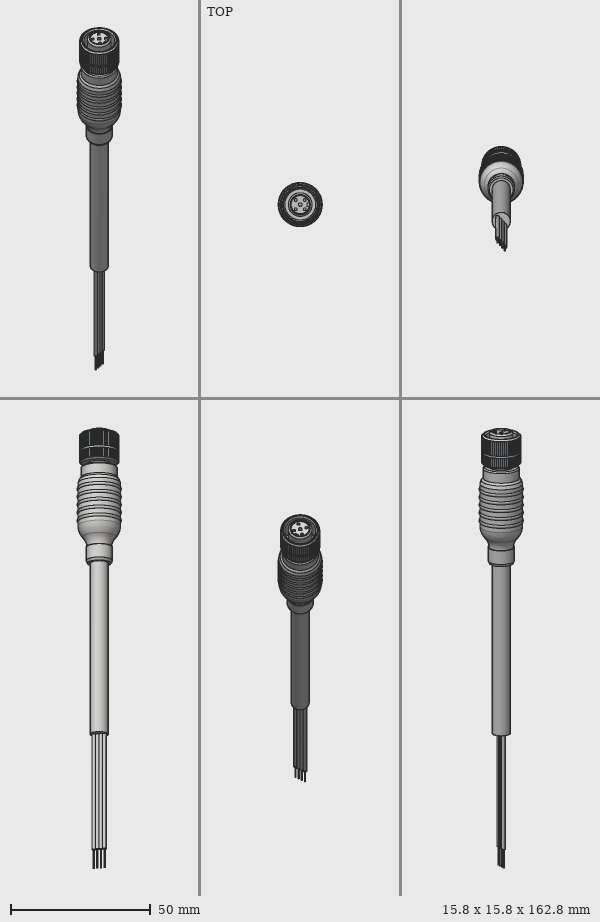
import cadquery as cq

total_length = 162.8

wire_count = 4
wire_pitch = 1.3
wire_radius = 0.68
conductor_radius = 0.26
insulation_bottom = 7.0
wire_embedding = 1.6

cable_radius = 3.3
cable_bottom = 49.8
sleeve_radius = 4.7
sleeve_bottom = 113.5
sleeve_top = 119.5
sleeve_chamfer_width = 0.5
sleeve_chamfer_height = 1.0

neck_radius = 4.4
flare_middle = (4.9, 121.6)
dome_bottom_radius = 6.0
dome_bottom = 123.3
dome_middle = (7.2, 125.0)
grip_radius = 7.7
grip_bottom = 127.3
grip_top = 143.3
shoulder_radius = 7.2
shoulder_height = 144.6

ring_count = 5
ring_pitch = 3.0
ring_height = 1.1
ring_radius = 7.9
ring_embedding = 0.3
first_ring_height = 129.5

collar_radius = 6.5
collar_bottom = 145.5
collar_top = 149.5
barrel_radius = 4.2
collar_chamfer = 0.5
barrel_chamfer = 0.7

face_radius = 3.3
face_depth = 0.5
socket_offset = 1.6
socket_diameter = 1.0
center_socket_diameter = 1.3
socket_depth = 4.9
keyway_width = 1.3
keyway_floor = 2.5

nut_radius = 7.0
nut_bottom = 150.6
nut_top = 161.7
nut_chamfer = 0.7
bore_radius = 5.5
bore_depth = 8.1
bore_chamfer = 0.5
flute_count = 60
flute_radius = 0.25
land_height = 155.2
land_width = 0.8


def cylinder(radius, bottom, top):
    return cq.Workplane("XY").workplane(offset=bottom).circle(radius).extrude(top - bottom)


def turn(profile):
    """Revolve a closed (radius, height) profile about the cable axis."""
    return profile.close().revolve(360, (0, 0, 0), (0, 1, 0))


def make_body():
    """Cable, sleeve, grip, collar and barrel."""
    profile = (
        cq.Workplane("XZ")
        .moveTo(0, cable_bottom)
        .lineTo(cable_radius, cable_bottom)
        .lineTo(cable_radius, sleeve_bottom)
        .lineTo(sleeve_radius - sleeve_chamfer_width, sleeve_bottom)
        .lineTo(sleeve_radius, sleeve_bottom + sleeve_chamfer_height)
        .lineTo(sleeve_radius, sleeve_top)
        .lineTo(neck_radius, sleeve_top)
        .threePointArc(flare_middle, (dome_bottom_radius, dome_bottom))
        .threePointArc(dome_middle, (grip_radius, grip_bottom))
        .lineTo(grip_radius, grip_top)
        .lineTo(shoulder_radius, shoulder_height)
        .lineTo(collar_radius, collar_bottom)
        .lineTo(collar_radius, collar_top - collar_chamfer)
        .lineTo(collar_radius - collar_chamfer, collar_top)
        .lineTo(barrel_radius, collar_top)
        .lineTo(barrel_radius, total_length - barrel_chamfer)
        .lineTo(barrel_radius - barrel_chamfer, total_length)
        .lineTo(0, total_length)
    )
    return turn(profile)


def make_ring(height):
    root = grip_radius - ring_embedding
    bottom = height - ring_height / 2
    top = height + ring_height / 2
    profile = (
        cq.Workplane("XZ")
        .moveTo(root, bottom)
        .lineTo(grip_radius, bottom)
        .threePointArc((ring_radius, height), (grip_radius, top))
        .lineTo(root, top)
    )
    return turn(profile)


def make_wire(y):
    insulation = cylinder(wire_radius, insulation_bottom, cable_bottom + wire_embedding)
    conductor = cylinder(conductor_radius, 0, insulation_bottom)
    return insulation.union(conductor).translate((0, y, 0))


def make_flutes(bottom, top):
    return (
        cq.Workplane("XY")
        .workplane(offset=bottom)
        .polarArray(nut_radius, 0, 360, flute_count)
        .circle(flute_radius)
        .extrude(top - bottom)
    )


def make_nut():
    """Nut with two bands of flutes, parted by a plain land, and an open bore around the barrel."""
    bore_bottom = nut_top - bore_depth
    profile = (
        cq.Workplane("XZ")
        .moveTo(0, nut_bottom)
        .lineTo(nut_radius - nut_chamfer, nut_bottom)
        .lineTo(nut_radius, nut_bottom + nut_chamfer)
        .lineTo(nut_radius, nut_top - nut_chamfer)
        .lineTo(nut_radius - nut_chamfer, nut_top)
        .lineTo(bore_radius + bore_chamfer, nut_top)
        .lineTo(bore_radius, nut_top - bore_chamfer)
        .lineTo(bore_radius, bore_bottom)
        .lineTo(0, bore_bottom)
    )
    lower_flutes = make_flutes(nut_bottom + nut_chamfer, land_height - land_width / 2)
    upper_flutes = make_flutes(land_height + land_width / 2, nut_top - nut_chamfer)
    return turn(profile).cut(lower_flutes).cut(upper_flutes)


def make_contact_cuts():
    """Recessed contact face with its five sockets and the keyway on the +X side."""
    socket_bottom = total_length - socket_depth
    face_recess = cylinder(face_radius, total_length - face_depth, total_length)
    outer_sockets = (
        cq.Workplane("XY")
        .workplane(offset=socket_bottom)
        .rect(2 * socket_offset, 2 * socket_offset, forConstruction=True)
        .vertices()
        .circle(socket_diameter / 2)
        .extrude(socket_depth)
    )
    center_socket = cylinder(center_socket_diameter / 2, socket_bottom, total_length)
    keyway = (
        cq.Workplane("XY")
        .box(face_radius, keyway_width, socket_depth, centered=(False, True, False))
        .translate((keyway_floor, 0, socket_bottom))
        .intersect(cylinder(face_radius, socket_bottom, total_length))
    )
    return face_recess.union(outer_sockets).union(center_socket).union(keyway)


result = make_body().union(make_nut()).cut(make_contact_cuts())

for ring_index in range(ring_count):
    result = result.union(make_ring(first_ring_height + ring_index * ring_pitch))

for wire_index in range(wire_count):
    row_position = wire_index - (wire_count - 1) / 2
    result = result.union(make_wire(row_position * wire_pitch))